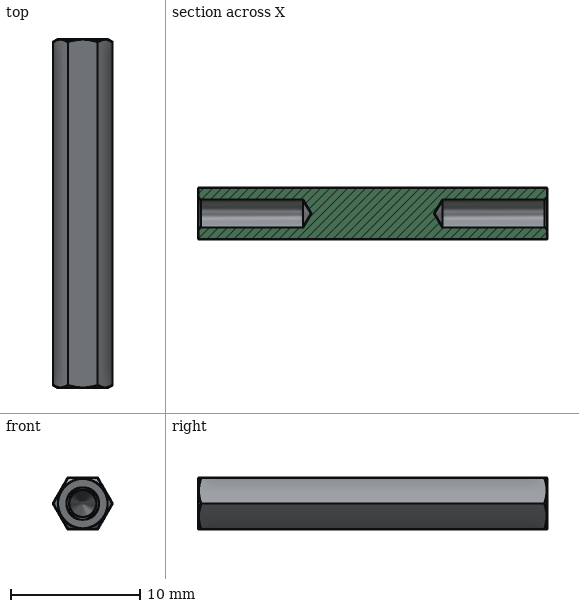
import cadquery as cq
import math

length = 27.0
across_flats = 4.0
across_corners = across_flats / math.cos(math.radians(30))

end_face_diameter = 3.83
corner_chamfer_angle = 30.0
corner_clearance = 0.27

hole_diameter = 2.1
mouth_diameter = 2.5
hole_depth = 8.1
drill_point_angle = 118.0


def hexagonal_bar():
    """Bar centred on the origin, with its corners on the X axis."""
    return (
        cq.Workplane("XZ")
        .polygon(6, across_corners)
        .extrude(length / 2, both=True)
    )


def chamfer_envelope():
    """Turned body whose conical ends cut back the hexagon corners."""
    corner_radius = across_corners / 2 + corner_clearance
    face_radius = end_face_diameter / 2
    cone_length = (corner_radius - face_radius) * math.tan(math.radians(corner_chamfer_angle))
    end = length / 2
    return (
        cq.Workplane("XY")
        .moveTo(0, -end)
        .lineTo(face_radius, -end)
        .lineTo(corner_radius, -end + cone_length)
        .lineTo(corner_radius, end - cone_length)
        .lineTo(face_radius, end)
        .lineTo(0, end)
        .close()
        .revolve(360, (0, 0, 0), (0, 1, 0))
    )


def front_hole():
    """Drilled hole in the -Y end: 45 degree countersink, bore and drill point."""
    hole_radius = hole_diameter / 2
    mouth_radius = mouth_diameter / 2
    countersink_depth = mouth_radius - hole_radius
    point_depth = hole_radius / math.tan(math.radians(drill_point_angle / 2))
    end = -length / 2
    return (
        cq.Workplane("XY")
        .moveTo(0, end)
        .lineTo(mouth_radius, end)
        .lineTo(hole_radius, end + countersink_depth)
        .lineTo(hole_radius, end + hole_depth)
        .lineTo(0, end + hole_depth + point_depth)
        .close()
        .revolve(360, (0, 0, 0), (0, 1, 0))
    )


hole = front_hole()
result = (
    hexagonal_bar()
    .intersect(chamfer_envelope())
    .cut(hole)
    .cut(hole.mirror("XZ"))
)